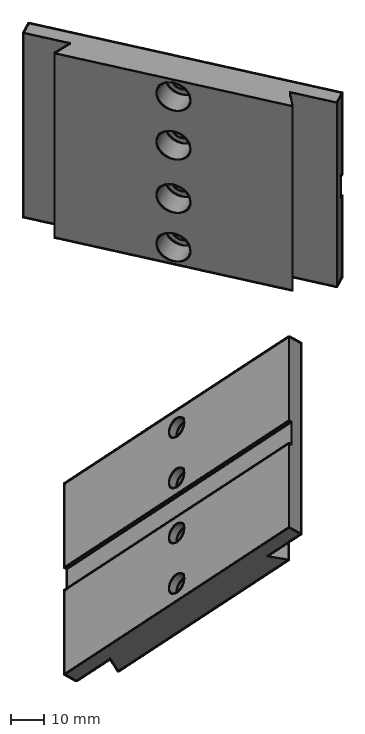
import cadquery as cq

length = 100.0
height = 72.0
total_depth = 11.0
plate_depth = 5.0

dovetail_width = 76.0
dovetail_root_width = 70.0

hole_diameter = 6.8
counterbore_diameter = 10.8
counterbore_depth = 8.0
inner_hole_offset = 10.4
outer_hole_offset = 29.4

groove_height = 8.5
groove_depth = 1.0


def make_body():
    """Extrude the plate and dovetail section along Z, centred on the origin."""
    half_length = length / 2
    half_dovetail = dovetail_width / 2
    half_root = dovetail_root_width / 2
    front = -total_depth
    outline = [
        (-half_length, 0),
        (-half_length, -plate_depth),
        (-half_root, -plate_depth),
        (-half_dovetail, front),
        (half_dovetail, front),
        (half_root, -plate_depth),
        (half_length, -plate_depth),
        (half_length, 0),
    ]
    return cq.Workplane("XY").polyline(outline).close().extrude(height / 2, both=True)


def cut_holes(body):
    """Drill the holes through from the dovetail face and counterbore them."""
    offsets = [-outer_hole_offset, -inner_hole_offset, inner_hole_offset, outer_hole_offset]
    return (
        body.faces("<Y")
        .workplane(origin=(0, -total_depth, 0))
        .pushPoints([(0, z) for z in offsets])
        .cboreHole(hole_diameter, counterbore_diameter, counterbore_depth)
    )


def cut_groove(body):
    """Cut the groove along the full length of the back face."""
    groove = cq.Workplane("XY").box(length, 2 * groove_depth, groove_height)
    return body.cut(groove)


result = cut_groove(cut_holes(make_body()))